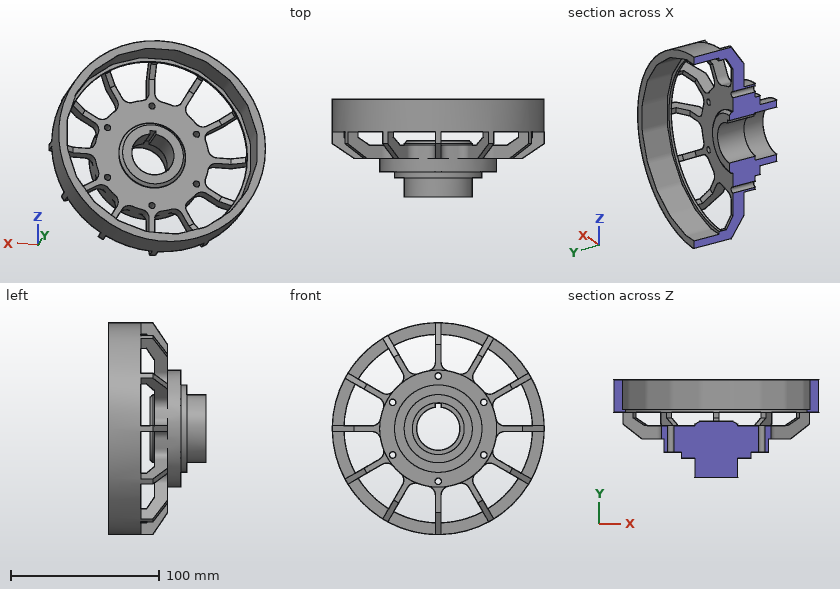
import cadquery as cq
import math

RIM_DIAMETER = 143.0
RIM_BORE = 127.0
NOSE_DIAMETER = 46.0
STEP_DIAMETER = 59.0
FLANGE_DIAMETER = 79.0
BEARING_BORE = 35.0
SHAFT_BORE = 29.0

NOSE_LENGTH = 13.0
STEP_LENGTH = 4.0
FLANGE_LENGTH = 9.0
SPOKE_DEPTH = 9.0
BACK_BOSS_LENGTH = 3.0
BACK_BOSS_CHAMFER = 2.0
RIM_WIDTH = 22.0
RIM_LIP_LENGTH = 2.0
TOTAL_WIDTH = 66.0

RECESS_SIDES = 20
RECESS_ACROSS_FLATS = 131.0
RECESS_CORNER_FILLET = 10.0

SPOKE_COUNT = 12
SPOKE_WIDTH = 4.0
SPOKE_ROOT_FILLET = 6.0
ROOT_OVERLAP = 4.0
SHOULDER_RADIUS = 56.7
SHOULDER_DEPTH = 36.0
ELBOW_RADIUS = 54.5
ELBOW_DEPTH = 40.25

SCREW_HOLE_DIAMETER = 4.2
SCREW_HOLE_COUNT = 6
SCREW_CIRCLE_DIAMETER = 71.0
FIRST_SCREW_ANGLE = 90.0

KEYWAY_WIDTH = 4.0
KEYWAY_TOP = 16.8

STEP_FRONT = NOSE_LENGTH
FLANGE_FRONT = STEP_FRONT + STEP_LENGTH
SPOKE_FRONT = FLANGE_FRONT + FLANGE_LENGTH
SPOKE_BACK = SPOKE_FRONT + SPOKE_DEPTH
BOSS_BACK = SPOKE_BACK + BACK_BOSS_LENGTH
RIM_FRONT = TOTAL_WIDTH - RIM_WIDTH
HUB_RADIUS = FLANGE_DIAMETER / 2
RIM_RADIUS = RIM_DIAMETER / 2
RIM_INNER_RADIUS = RIM_BORE / 2
HALF_SPOKE = SPOKE_WIDTH / 2


def plane_at(depth):
    """Plane square to the axis, with local x = -X, local y = +Z and its normal along +Y."""
    return cq.Workplane(cq.Plane(origin=(0, depth, 0), xDir=(-1, 0, 0), normal=(0, 1, 0)))


def disc(diameter, front, back):
    """Solid cylinder on the axis between two depths."""
    return plane_at(front).circle(diameter / 2).extrude(back - front)


def make_hub():
    """Stepped hub: nose, step, flange and chamfered back boss."""
    nose = disc(NOSE_DIAMETER, 0, STEP_FRONT)
    step = disc(STEP_DIAMETER, STEP_FRONT, FLANGE_FRONT)
    flange = disc(FLANGE_DIAMETER, FLANGE_FRONT, SPOKE_BACK)
    boss = disc(NOSE_DIAMETER, SPOKE_BACK, BOSS_BACK).faces(">Y").chamfer(BACK_BOSS_CHAMFER)
    return nose.union(step).union(flange).union(boss)


def make_rim():
    """Outer ring: a thin round lip in front and a polygonal recess with rounded corners behind it."""
    circumscribed_diameter = RECESS_ACROSS_FLATS / math.cos(math.pi / RECESS_SIDES)
    recess_front = RIM_FRONT + RIM_LIP_LENGTH
    recess = (
        plane_at(recess_front)
        .transformed(rotate=(0, 0, 180 / RECESS_SIDES))
        .polygon(RECESS_SIDES, circumscribed_diameter)
        .extrude(TOTAL_WIDTH - recess_front)
        .edges("|Y")
        .fillet(RECESS_CORNER_FILLET)
    )
    lip_bore = disc(RIM_BORE, RIM_FRONT, recess_front)
    return disc(RIM_DIAMETER, RIM_FRONT, TOTAL_WIDTH).cut(lip_bore).cut(recess)


def make_spoke_arm():
    """Cranked arm pointing along +Z, running from inside the hub to the front face of the rim."""
    root_radius = HUB_RADIUS - ROOT_OVERLAP
    profile = [
        (SPOKE_FRONT, root_radius),
        (SPOKE_FRONT, SHOULDER_RADIUS),
        (SHOULDER_DEPTH, RIM_RADIUS),
        (RIM_FRONT, RIM_RADIUS),
        (RIM_FRONT, RIM_INNER_RADIUS),
        (ELBOW_DEPTH, RIM_INNER_RADIUS),
        (SPOKE_BACK, ELBOW_RADIUS),
        (SPOKE_BACK, root_radius),
    ]
    arm = cq.Workplane("YZ").polyline(profile).close().extrude(HALF_SPOKE, both=True)
    return arm.intersect(disc(RIM_DIAMETER, SPOKE_FRONT, RIM_FRONT))


def make_spoke_root():
    """Flared foot of a spoke: concave arcs tangent to the spoke sides and to the hub."""
    center_x = HALF_SPOKE + SPOKE_ROOT_FILLET
    center_distance = HUB_RADIUS + SPOKE_ROOT_FILLET
    center_z = math.sqrt(center_distance ** 2 - center_x ** 2)
    foot_x = center_x * HUB_RADIUS / center_distance
    foot_z = center_z * HUB_RADIUS / center_distance
    mid_angle = math.pi + math.atan2(center_z, center_x) / 2
    mid_x = center_x + SPOKE_ROOT_FILLET * math.cos(mid_angle)
    mid_z = center_z + SPOKE_ROOT_FILLET * math.sin(mid_angle)
    inner_z = foot_z - ROOT_OVERLAP
    return (
        plane_at(SPOKE_FRONT)
        .moveTo(-foot_x, inner_z)
        .lineTo(-foot_x, foot_z)
        .threePointArc((-mid_x, mid_z), (-HALF_SPOKE, center_z))
        .lineTo(HALF_SPOKE, center_z)
        .threePointArc((mid_x, mid_z), (foot_x, foot_z))
        .lineTo(foot_x, inner_z)
        .close()
        .extrude(SPOKE_DEPTH)
    )


def cut_bores(body):
    """Bearing bore from the front, smaller shaft bore through, keyway at the top of the shaft bore."""
    body = body.cut(disc(SHAFT_BORE, 0, BOSS_BACK))
    body = body.cut(disc(BEARING_BORE, 0, FLANGE_FRONT))
    keyway = cq.Workplane("XY").box(KEYWAY_WIDTH, BOSS_BACK, KEYWAY_TOP, centered=(True, False, False))
    return body.cut(keyway)


def cut_screw_holes(body):
    """Ring of screw holes through the flange and the spoke disc behind it."""
    holes = (
        plane_at(FLANGE_FRONT)
        .polarArray(SCREW_CIRCLE_DIAMETER / 2, FIRST_SCREW_ANGLE, 360, SCREW_HOLE_COUNT)
        .circle(SCREW_HOLE_DIAMETER / 2)
        .extrude(SPOKE_BACK - FLANGE_FRONT)
    )
    return body.cut(holes)


result = make_hub().union(make_rim())
spoke = make_spoke_arm().union(make_spoke_root())
for index in range(SPOKE_COUNT):
    angle = index * 360 / SPOKE_COUNT
    result = result.union(spoke.rotate((0, 0, 0), (0, 1, 0), angle))
result = cut_screw_holes(cut_bores(result))